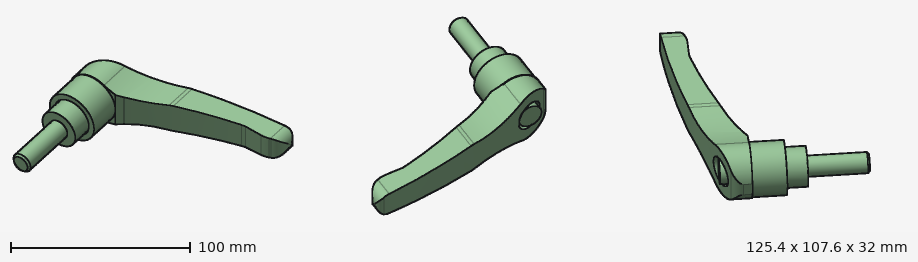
import cadquery as cq
import math


hub_diameter = 31.0
hub_height = 19.5
insert_diameter = 23.0
insert_bore_diameter = 23.7
insert_bore_depth = 2.0
insert_length = 12.0
stud_diameter = 12.0
stud_length = 35.0
stud_chamfer = 1.2

button_diameter = 14.3
button_top = 36.8
button_recess_diameter = 17.0
button_recess_floor = hub_height

hub_radius = hub_diameter / 2
back_fillet_radius = 7.1
top_start_y = 29.45
top_mid = (42.7, 49.95)
tip_top_y = 60.63
tip_x = 109.91
tip_top_radius = 3.8
neck_end = (19.5, 21.6)
underside_start = (19.9, 21.82)
underside_mid = (51.7, 35.8)
underside_end = (83.5, 45.5)
grip_start_x = 86.1
grip_end_x = 96.9
grip_y = 46.0
tip_rise_mid = (99.4, 46.2)
tip_facet_start = (101.8, 46.8)
tip_facet_end = (102.9, 47.2)
tip_under_mid = (107.2, 49.8)

head_radius = 16.0
head_end_x = 7.33
waist_mid = (20.0, 10.35)
shoulder_start = (42.9, 9.55)
shoulder_crest = (44.0, 9.64)
shoulder_end = (45.2, 9.63)
tip_round_start_x = 102.5
tip_half_width = tip_x - tip_round_start_x


def cylinder(diameter, bottom, top):
    """Cylinder about the Y axis between two Y levels."""
    return cq.Workplane("XZ", origin=(0, top, 0)).circle(diameter / 2).extrude(top - bottom)


def side_profile():
    """Head and arm seen along Z, extruded over the full head width."""
    tip_top_x = tip_x - tip_top_radius
    tip_nose_y = tip_top_y - tip_top_radius
    half_diagonal = tip_top_radius * math.sqrt(0.5)
    tip_top_mid = (tip_top_x + half_diagonal, tip_nose_y + half_diagonal)
    outline = (
        cq.Workplane("XY", origin=(0, 0, -head_radius))
        .moveTo(-hub_radius, hub_height)
        .lineTo(hub_radius, hub_height)
        .lineTo(*neck_end)
        .lineTo(*underside_start)
        .threePointArc(underside_mid, underside_end)
        .lineTo(grip_start_x, grip_y)
        .lineTo(grip_end_x, grip_y)
        .threePointArc(tip_rise_mid, tip_facet_start)
        .lineTo(*tip_facet_end)
        .threePointArc(tip_under_mid, (tip_x, tip_nose_y))
        .threePointArc(tip_top_mid, (tip_top_x, tip_top_y))
        .threePointArc(top_mid, (-hub_radius, top_start_y))
        .close()
    )
    blank = outline.extrude(2 * head_radius)
    top_back_edge = cq.selectors.NearestToPointSelector((-hub_radius, top_start_y, 0))
    return blank.edges(top_back_edge).fillet(back_fillet_radius)


def plan_outline():
    """Head and arm seen along Y, extruded over the full height."""
    def lower(point):
        return (point[0], -point[1])

    head_end = (head_end_x, math.sqrt(head_radius**2 - head_end_x**2))
    tip_start = (tip_round_start_x, tip_half_width)
    return (
        cq.Workplane("XZ", origin=(0, tip_top_y, 0))
        .moveTo(*lower(head_end))
        .threePointArc((-head_radius, 0), head_end)
        .threePointArc(waist_mid, shoulder_start)
        .threePointArc(shoulder_crest, shoulder_end)
        .lineTo(*tip_start)
        .threePointArc((tip_x, 0), lower(tip_start))
        .lineTo(*lower(shoulder_end))
        .threePointArc(lower(shoulder_crest), lower(shoulder_start))
        .threePointArc(lower(waist_mid), lower(head_end))
        .close()
        .extrude(tip_top_y - hub_height)
    )


def handle():
    """Head, arm and hub, with the button recess and the insert bore."""
    arm = side_profile().intersect(plan_outline())
    hub = cylinder(hub_diameter, 0, hub_height)
    recess = cylinder(button_recess_diameter, button_recess_floor, tip_top_y)
    bore = cylinder(insert_bore_diameter, 0, insert_bore_depth)
    return hub.union(arm).cut(recess).cut(bore)


def insert_with_stud():
    """Insert standing in its bore, with the chamfered stud below it."""
    insert = cylinder(insert_diameter, -insert_length, insert_bore_depth)
    stud = cylinder(stud_diameter, -insert_length - stud_length, -insert_length)
    stud = stud.faces("<Y").chamfer(stud_chamfer)
    return insert.union(stud)


button = cylinder(button_diameter, button_recess_floor, button_top)
result = handle().union(insert_with_stud()).union(button)